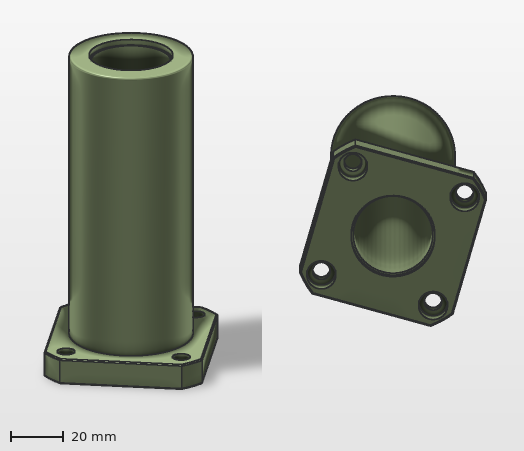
import cadquery as cq

total_length = 123.0
sleeve_diameter = 47.0
sleeve_rounding = 1.0

bore_diameter = 30.0
seal_diameter = 31.6
seal_depth = 2.2

flange_thickness = 10.1
flange_side = 60.0
flange_across_corners = 75.9
flange_chamfer = 0.5

hole_count = 4
bolt_circle_diameter = 62.0
hole_diameter = 6.6
counterbore_diameter = 11.0
counterbore_depth = 6.0


def make_flange():
    square = cq.Workplane("XY").rect(flange_side, flange_side).extrude(flange_thickness)
    square = square.rotate((0, 0, 0), (0, 0, 1), 45)
    trim = cq.Workplane("XY").circle(flange_across_corners / 2).extrude(flange_thickness)
    return square.intersect(trim).faces("<Z or >Z").edges().chamfer(flange_chamfer)


def make_sleeve():
    sleeve = cq.Workplane("XY").circle(sleeve_diameter / 2).extrude(total_length)
    return sleeve.faces(">Z").edges().fillet(sleeve_rounding)


def cut_bore(body):
    """Bore through the sleeve, with a wider seal recess at both ends."""
    bore = cq.Workplane("XY").circle(bore_diameter / 2).extrude(total_length)
    recess = cq.Workplane("XY").circle(seal_diameter / 2).extrude(seal_depth)
    top_recess = recess.translate((0, 0, total_length - seal_depth))
    return body.cut(bore).cut(recess).cut(top_recess)


def cut_mounting_holes(body):
    """Through holes counterbored from the underside of the flange."""
    radius = bolt_circle_diameter / 2
    pattern = cq.Workplane("XY").polarArray(radius, 0, 360, hole_count)
    holes = pattern.circle(hole_diameter / 2).extrude(flange_thickness)
    counterbores = pattern.circle(counterbore_diameter / 2).extrude(counterbore_depth)
    return body.cut(holes).cut(counterbores)


result = cut_mounting_holes(cut_bore(make_flange().union(make_sleeve())))